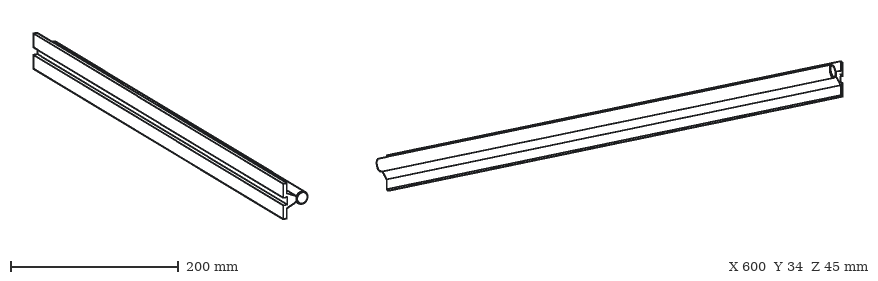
import cadquery as cq

length = 600.0

shaft_diameter = 16.0
shaft_chamfer = 1.0

overall_depth = 34.0
flange_height = 45.0
flange_thickness = 5.0
slot_height = 9.5
slot_depth = 5.5
web_root_height = 19.0
web_tip_height = 6.5

shaft_radius = shaft_diameter / 2
shaft_center_y = overall_depth - shaft_radius
web_tip_y = shaft_center_y - (shaft_radius**2 - (web_tip_height / 2) ** 2) ** 0.5
cradle_bottom_y = shaft_center_y - shaft_radius


def make_shaft():
    """Round bar along X with both ends chamfered."""
    bar = (
        cq.Workplane("YZ")
        .center(shaft_center_y, 0)
        .circle(shaft_radius)
        .extrude(length)
    )
    return bar.faces("<X or >X").chamfer(shaft_chamfer)


def make_support():
    """Constant section along X, with an arc cradle for the shaft and a slot in the mounting face."""
    return (
        cq.Workplane("YZ")
        .moveTo(0, slot_height / 2)
        .lineTo(0, flange_height / 2)
        .lineTo(flange_thickness, flange_height / 2)
        .lineTo(flange_thickness, web_root_height / 2)
        .lineTo(web_tip_y, web_tip_height / 2)
        .threePointArc((cradle_bottom_y, 0), (web_tip_y, -web_tip_height / 2))
        .lineTo(flange_thickness, -web_root_height / 2)
        .lineTo(flange_thickness, -flange_height / 2)
        .lineTo(0, -flange_height / 2)
        .lineTo(0, -slot_height / 2)
        .lineTo(slot_depth, -slot_height / 2)
        .lineTo(slot_depth, slot_height / 2)
        .close()
        .extrude(length)
    )


shaft = make_shaft()
support = make_support()

result = cq.Compound.makeCompound([shaft.val(), support.val()])